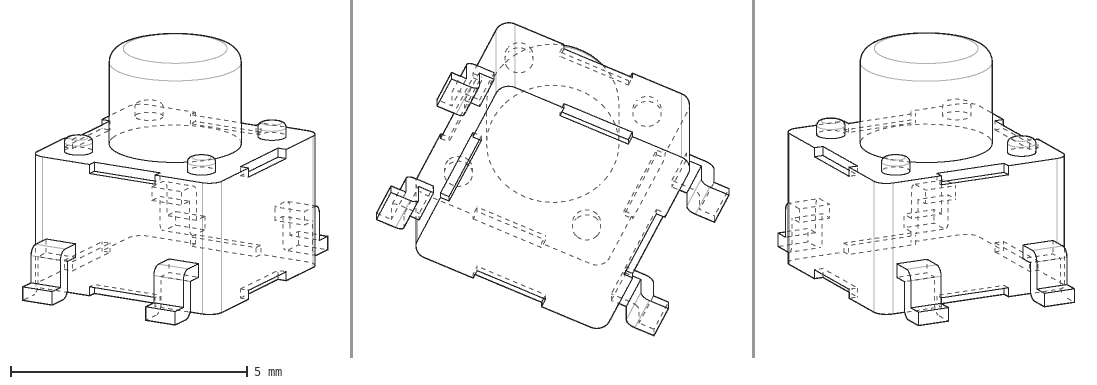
import cadquery as cq


housing_side = 4.5
housing_height = 2.9
housing_corner_radius = 0.3
housing_face = housing_side / 2

notch_length = 1.6
notch_depth = 0.2
notch_height = 0.2

overall_height = 5.0
button_diameter = 2.8
button_edge_radius = 0.3
button_height = overall_height - housing_height

post_diameter = 0.6
post_height = 0.3
post_edge_radius = 0.1

corner_pitch = 3.0
corner_offset = corner_pitch / 2

overall_length = 6.5
lead_width = 0.72
lead_thickness = 0.3
lead_top = 1.1
lead_bend_radius = 0.2
lead_shoulder = 0.65
lead_tip = overall_length / 2
lead_riser_outer = housing_face + lead_shoulder
lead_riser_inner = lead_riser_outer - lead_thickness


def make_block():
    """Square block with rounded vertical corners."""
    return (
        cq.Workplane("XY")
        .rect(housing_side, housing_side)
        .extrude(housing_height)
        .edges("|Z")
        .fillet(housing_corner_radius)
    )


def make_notch(angle, bottom):
    """Cutter for one edge notch, turned about Z from the -Y side."""
    return (
        cq.Workplane("XY")
        .box(notch_length, notch_depth, notch_height, centered=(True, False, False))
        .translate((0, -housing_face, bottom))
        .rotate((0, 0, 0), (0, 0, 1), angle)
    )


def make_round_stud(diameter, height, edge_radius):
    """Upright cylinder with a rounded top edge, standing on the housing top."""
    return (
        cq.Workplane("XY", origin=(0, 0, housing_height))
        .circle(diameter / 2)
        .extrude(height)
        .faces(">Z")
        .edges()
        .fillet(edge_radius)
    )


def make_housing():
    """Notched block with the button and the four corner posts on top."""
    body = make_block()
    for angle in (0, 90, 180, 270):
        for bottom in (0, housing_height - notch_height):
            body = body.cut(make_notch(angle, bottom))

    body = body.union(make_round_stud(button_diameter, button_height, button_edge_radius))

    post = make_round_stud(post_diameter, post_height, post_edge_radius)
    for x_side in (-1, 1):
        for y_side in (-1, 1):
            body = body.union(post.translate((x_side * corner_offset, y_side * corner_offset, 0)))
    return body


def make_lead(x_center, angle):
    """Z-bent lead butting against the +Y housing face, then turned about Z."""
    return (
        cq.Workplane("YZ")
        .moveTo(housing_face, lead_top)
        .lineTo(lead_riser_outer - lead_bend_radius, lead_top)
        .radiusArc((lead_riser_outer, lead_top - lead_bend_radius), lead_bend_radius)
        .lineTo(lead_riser_outer, lead_thickness)
        .lineTo(lead_tip, lead_thickness)
        .lineTo(lead_tip, 0)
        .lineTo(lead_riser_inner + lead_bend_radius, 0)
        .radiusArc((lead_riser_inner, lead_bend_radius), lead_bend_radius)
        .lineTo(lead_riser_inner, lead_top - lead_thickness)
        .lineTo(housing_face, lead_top - lead_thickness)
        .close()
        .extrude(lead_width / 2, both=True)
        .translate((x_center, 0, 0))
        .rotate((0, 0, 0), (0, 0, 1), angle)
    )


housing = make_housing()

leads = []
for x_center in (-corner_offset, corner_offset):
    for angle in (0, 180):
        leads.append(make_lead(x_center, angle).val())

result = cq.Compound.makeCompound([housing.solids().val(), *leads])